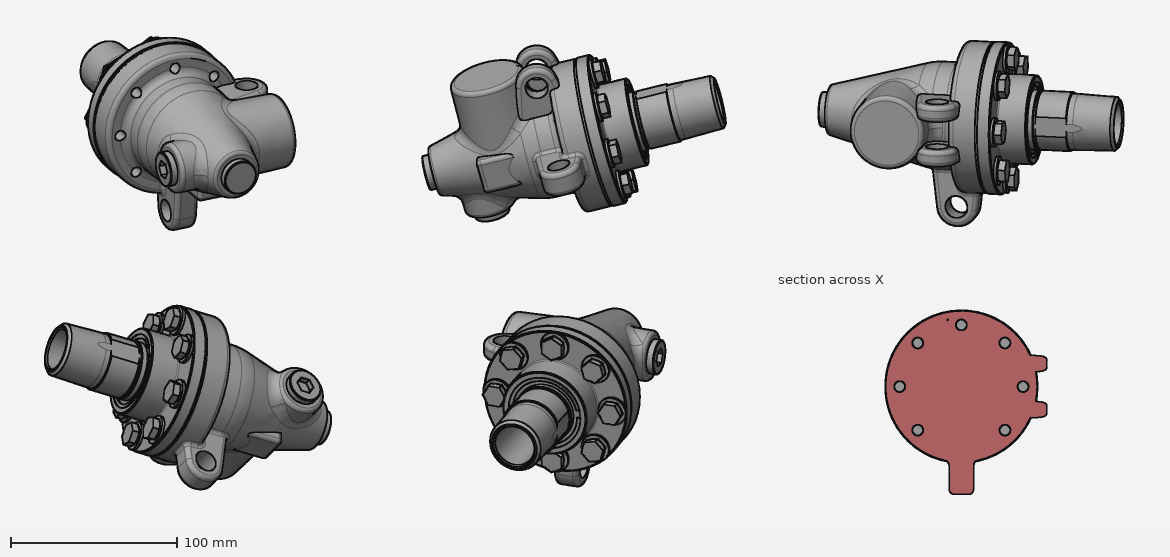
import cadquery as cq
import math


hub_x = 51.2
plate_x = 69.5
joint_x = 77.3
flange_x = 78.8
flange_end = 95.4
neck_end = 109.1
taper_x = 118.6
housing_end = 178.0
total_length = 182.8

shaft_r = 35.8 / 2
collar_r = 36.4 / 2
bore_r = 25.0 / 2
bore_depth = hub_x
bore_chamfer = 1.0
nose_r = 29.0 / 2
nose_chamfer = 1.8
thread_end = 24.9
flat_x = 28.5
flat_end = 49.0
shaft_chamfer = 0.4
undercut_width = 1.3
undercut_r = 17.0
flat_half_width = 33.8 / 2
thread_flat_x = 19.2
thread_taper = 1 / 32

hub_r = 54.0 / 2
hub_chamfer = 0.7
recess_r = 46.0 / 2
recess_depth = 1.5
ring_inner_r = 20.7
ring_thickness = 1.0
ring_gap = 5.0
hub_fillet = 0.7

plate_r = 92.0 / 2
plate_chamfer = 0.7
joint_r = 45.0
flange_r = 45.7
flange_fillet = 3.1

bolt_count = 8
bolt_circle_r = 37.1
washer_d = 17.5
washer_thickness = 1.6
seat_d = 12.6
seat_thickness = 0.4
head_flats = 12.6
head_height = 4.5
rear_hole_d = 6.4
rear_hole_depth = 14.6

neck_r = 64.9 / 2
neck_fillet = 4.8
taper_angle = math.radians(15.2)
tip_fillet = 2.2
branch_fillet = 7.3

port_x = 131.6
port_face = 52.6
port_r = 22.5
port_fillet = 2.7
port_draft = 1.6

boss_x = 151.0
boss_face = 31.6
boss_r = 15.5
boss_fillet = 2.5

plug_r = 21.2 / 2
plug_height = 4.5
plug_chamfer = 0.5
socket_flats = 9.5
socket_depth = 4.4

eye_d = 13.5
lug_r = 25.0 / 2
lug_edge_fillet = 3.0
foot_lug_x = 98.3
foot_lug_reach = 54.5
foot_lug_thickness = 15.2
foot_lug_flare = 6.5
foot_lug_root_fillet = 2.5
side_lug_x = 102.0
side_lug_reach = 45.0
side_lug_thickness = 10.2
side_lug_spacing = 27.6
side_lug_flare = 13.0

pad_end = 149.1
pad_length = 31.0
pad_width = 22.0
pad_bottom = -27.8
pad_corner = 2.5


def disc(x, length, radius):
    """Cylinder on the X axis that starts at x."""
    return cq.Workplane("YZ", origin=(x, 0, 0)).circle(radius).extrude(length)


def thread_r(x):
    return flat_half_width + (x - thread_flat_x) * thread_taper


def make_shaft():
    groove_x = flat_end - undercut_width
    profile = (
        cq.Workplane("XY")
        .lineTo(0, nose_r)
        .lineTo(nose_chamfer, thread_r(nose_chamfer))
        .lineTo(thread_end, thread_r(thread_end))
        .lineTo(flat_x, thread_r(thread_end))
        .lineTo(flat_x, shaft_r - shaft_chamfer)
        .lineTo(flat_x + shaft_chamfer, shaft_r)
        .lineTo(groove_x - shaft_chamfer, shaft_r)
        .lineTo(groove_x, shaft_r - shaft_chamfer)
        .lineTo(groove_x, undercut_r)
        .lineTo(flat_end, undercut_r)
        .lineTo(flat_end, collar_r - shaft_chamfer)
        .lineTo(flat_end + shaft_chamfer, collar_r)
        .lineTo(plate_x, collar_r)
        .lineTo(plate_x, 0)
        .close()
    )
    shaft = profile.revolve(360, (0, 0, 0), (1, 0, 0))
    across_flats = cq.Workplane("XY").box(
        flat_end, 2 * flat_half_width, 2 * shaft_r, centered=(False, True, True)
    )
    return shaft.intersect(across_flats.union(disc(flat_end, plate_x, plate_r)))


def make_bore():
    profile = (
        cq.Workplane("XY")
        .lineTo(0, bore_r + bore_chamfer)
        .lineTo(bore_chamfer, bore_r)
        .lineTo(bore_depth, bore_r)
        .lineTo(bore_depth, 0)
        .close()
    )
    return profile.revolve(360, (0, 0, 0), (1, 0, 0))


def make_hub():
    hub = disc(hub_x, joint_x - hub_x, hub_r).faces("<X").chamfer(hub_chamfer)
    hub = hub.cut(disc(hub_x, recess_depth, recess_r))
    ring_x = hub_x + recess_depth - ring_thickness
    ring = disc(ring_x, ring_thickness, recess_r).cut(disc(ring_x, ring_thickness, ring_inner_r))
    gap = cq.Workplane("XY").box(hub_x, recess_r, ring_gap, centered=False)
    return hub.union(ring.cut(gap.translate((hub_x, -recess_r, 0))))


def make_flange():
    plate = disc(plate_x, joint_x - plate_x, plate_r).faces("<X").edges().chamfer(plate_chamfer)
    joint = disc(joint_x, flange_x - joint_x, joint_r)
    body = disc(flange_x, flange_end - flange_x, flange_r).faces(">X").edges().fillet(flange_fillet)
    return plate.union(joint).union(body)


def make_bolt():
    """Bolt head, seat and washer on the X axis, with a head corner toward +Z."""
    washer_x = plate_x - washer_thickness
    seat_x = washer_x - seat_thickness
    corner_d = head_flats / math.cos(math.pi / 6)
    head = (
        cq.Workplane("YZ", origin=(seat_x - head_height, 0, 0))
        .transformed(rotate=(0, 0, 90))
        .polygon(6, corner_d)
        .extrude(head_height)
    )
    return head.union(disc(seat_x, seat_thickness, seat_d / 2)).union(
        disc(washer_x, washer_thickness, washer_d / 2)
    )


def around_bolt_circle(shape):
    """Copies of a shape on the X axis, spaced evenly around the bolt circle."""
    first = shape.translate((0, 0, bolt_circle_r))
    return [first.rotate((0, 0, 0), (1, 0, 0), i * 360 / bolt_count) for i in range(bolt_count)]


def make_housing():
    """Neck, tangent shoulder and taper, blended into the side port and plug boss."""
    shoulder = taper_x - neck_end
    shoulder_r = neck_r - shoulder * math.tan(taper_angle / 2)
    bend_r = shoulder / math.sin(taper_angle)
    bend_mid = (
        neck_end + bend_r * math.sin(taper_angle / 2),
        neck_r - bend_r * (1 - math.cos(taper_angle / 2)),
    )
    end_r = shoulder_r - (housing_end - taper_x) * math.tan(taper_angle)
    spindle = (
        cq.Workplane("XY")
        .moveTo(flange_end, 0)
        .lineTo(flange_end, neck_r)
        .lineTo(neck_end, neck_r)
        .threePointArc(bend_mid, (taper_x, shoulder_r))
        .lineTo(housing_end, end_r)
        .lineTo(housing_end, 0)
        .close()
        .revolve(360, (0, 0, 0), (1, 0, 0))
        .faces(">X")
        .edges()
        .fillet(tip_fillet)
    )
    port = (
        cq.Workplane("XZ", origin=(port_x, port_face, 0))
        .circle(port_r)
        .extrude(port_face, taper=-port_draft)
    )
    boss = (
        cq.Workplane("XZ", origin=(boss_x, 0, 0))
        .circle(boss_r)
        .extrude(boss_face)
        .faces("<Y")
        .edges()
        .fillet(boss_fillet)
    )
    housing = spindle.union(port).union(boss)
    port_root = cq.selectors.BoxSelector(
        (flange_end, 0, -neck_r), (housing_end, neck_r + neck_fillet, neck_r), boundingbox=True
    )
    boss_root = cq.selectors.BoxSelector(
        (taper_x, -boss_face + boss_fillet, -neck_r), (housing_end, 0, neck_r), boundingbox=True
    )
    housing = housing.edges(port_root).fillet(branch_fillet)
    housing = housing.edges(boss_root).fillet(branch_fillet)
    return housing.faces(">Y").edges().fillet(port_fillet)


def make_neck_fillet():
    root = flange_end + neck_fillet
    return (
        cq.Workplane("XY")
        .moveTo(flange_end, 0)
        .lineTo(flange_end, neck_r + neck_fillet)
        .radiusArc((root, neck_r), -neck_fillet)
        .lineTo(root, 0)
        .close()
        .revolve(360, (0, 0, 0), (1, 0, 0))
    )


def make_lug(thickness, reach, flare, root):
    """Rounded lug about the Z axis, its eye at Y = reach and its flared sides ending at Y = root."""
    angle = math.radians(flare)
    side_x = lug_r * math.cos(angle)
    side_y = reach + lug_r * math.sin(angle)
    root_x = side_x + (side_y - root) * math.tan(angle)
    lug = (
        cq.Workplane("XY", origin=(0, 0, -thickness / 2))
        .moveTo(-root_x, root)
        .lineTo(-side_x, side_y)
        .threePointArc((0, reach + lug_r), (side_x, side_y))
        .lineTo(root_x, root)
        .close()
        .extrude(thickness)
    )
    lug = lug.faces("|Z").edges("not <Y").fillet(lug_edge_fillet)
    eye = cq.Workplane("XY", origin=(0, reach, -thickness)).circle(eye_d / 2).extrude(2 * thickness)
    return lug.cut(eye)


def make_pad():
    return (
        cq.Workplane("XY")
        .box(pad_length, pad_width, -pad_bottom, centered=(False, True, False))
        .translate((pad_end - pad_length, 0, pad_bottom))
        .edges("|Z or <Z")
        .fillet(pad_corner)
    )


def make_boss_plug():
    plug = cq.Workplane("XZ", origin=(boss_x, -boss_face, 0)).circle(plug_r).extrude(plug_height)
    socket_d = socket_flats / math.cos(math.pi / 6)
    return (
        plug.faces("<Y")
        .edges()
        .chamfer(plug_chamfer)
        .faces("<Y")
        .workplane()
        .polygon(6, socket_d)
        .cutBlind(-socket_depth)
    )


def make_end_plug():
    plug = disc(housing_end, total_length - housing_end, plug_r)
    return plug.faces(">X").edges().chamfer(plug_chamfer)


result = make_housing().union(make_pad()).union(make_flange()).union(make_neck_fillet())
rear_hole = disc(flange_end - rear_hole_depth, rear_hole_depth + neck_fillet, rear_hole_d / 2)
for hole in around_bolt_circle(rear_hole):
    covered_by_foot_lug = hole.val().Center().z < -bolt_circle_r + rear_hole_d / 2
    if not covered_by_foot_lug:
        result = result.cut(hole)

hub_root_box = cq.selectors.BoxSelector(
    (plate_x - hub_fillet, -plate_r, -plate_r), (plate_x + hub_fillet, plate_r, plate_r)
)
result = result.union(make_hub())
result = result.edges(hub_root_box).edges(cq.selectors.RadiusNthSelector(0)).fillet(hub_fillet)

foot_lug = make_lug(foot_lug_thickness, foot_lug_reach, foot_lug_flare, neck_r / 2)
result = result.union(foot_lug.rotate((0, 0, 0), (1, 0, 0), -90).translate((foot_lug_x, 0, 0)))
foot_lug_root_box = cq.selectors.BoxSelector(
    (flange_x, -foot_lug_thickness, -flange_r - lug_edge_fillet),
    (taper_x, foot_lug_thickness, lug_edge_fillet - neck_r),
    boundingbox=True,
)
result = result.edges(foot_lug_root_box).fillet(foot_lug_root_fillet)
side_lug = make_lug(side_lug_thickness, side_lug_reach, side_lug_flare, neck_r / 2)
for side in (1, -1):
    result = result.union(side_lug.translate((side_lug_x, 0, side * side_lug_spacing / 2)))

result = result.union(make_shaft()).cut(make_bore())
result = result.union(make_boss_plug()).union(make_end_plug())
for bolt in around_bolt_circle(make_bolt()):
    result = result.union(bolt)